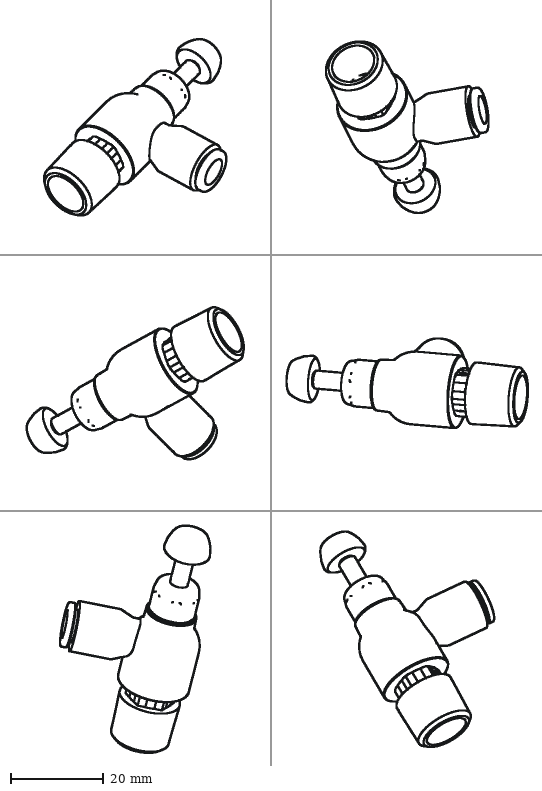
import cadquery as cq
import math


bore_radius = 9.5 / 2
thread_taper = 1 / 32
gauge_y = 4.45
gauge_radius = 6.55
thread_end_y = 9.5
nipple_top_y = 10.55
tip_chamfer_length = 0.85
tip_face_radius = 5.55

hexagon_sides = 6
hex_across_flats = 9.3
hex_corner_chamfer = 0.3

housing_bottom_y = 14.05
housing_radius = 7.9
housing_edge_chamfer = 0.15
dome_end_y = 28.45
dome_end_radius = 6.1
dome_arc_radius = 5.95
neck_arc_radius = 1.55
collar_bottom_y = 29.55
collar_bottom_radius = 5.65
collar_rim_radius = 5.55
collar_rim_drop = 0.3
collar_top_radius = 5.4
collar_top_y = 32.25

branch_y = 24.2
branch_bore_radius = 3.05
branch_neck_radius = 4.3
branch_radius = 5.55
cone_start_x = 7.65
cone_end_x = 10.55
branch_blend_radius = 1.05
branch_end_x = 19.75
collet_neck_radius = 3.6
collet_flange_x = 20.5
collet_end_x = 21.95
collet_radius = 4.95
collet_inner_chamfer = 0.2
collet_outer_fillet = 0.35

nut_gap = 0.15
nut_bottom_y = collar_top_y + nut_gap
nut_radius = 5.1
nut_across_flats = 10.0
nut_cone_y = 37.0
nut_shoulder_y = 38.25
nut_shoulder_radius = 4.8
nut_top_y = 39.4
nut_top_radius = 3.85
nut_crown_arc_radius = 1.25
stem_radius = 2.0
stem_chamfer = 0.4
knob_bottom_y = 46.7
knob_bottom_radius = 4.5
knob_chamfer_y = 46.9
knob_chamfer_radius = 4.8
knob_widest_y = 47.55
knob_radius = 5.1
knob_lip_arc_radius = 0.75
knob_side_arc_radius = 7.8
knob_crown_y = 51.6
knob_crown_radius = 3.75
knob_crown_arc_radius = 1.05
knob_top_y = 52.0
knob_top_radius = 2.95


def turned_about_y(profile):
    """Full turn of a closed (radius, y) profile about the main axis."""
    return profile.close().revolve(360, (0, 0), (0, 1))


def cylinder_on_y(radius, y_start, y_end):
    return turned_about_y(
        cq.Workplane("XY").moveTo(0, y_start).lineTo(radius, y_start).lineTo(radius, y_end).lineTo(0, y_end)
    )


def hexagon_on_y(across_flats, y_start, y_end):
    """Hexagonal prism with two flats facing +Z and -Z."""
    across_corners = across_flats / math.cos(math.pi / hexagon_sides)
    plane = cq.Plane(origin=(0, y_start, 0), xDir=(1, 0, 0), normal=(0, 1, 0))
    return cq.Workplane(plane).polygon(hexagon_sides, across_corners).extrude(y_end - y_start)


def thread_radius(y):
    return gauge_radius + (y - gauge_y) * thread_taper


def make_nipple():
    return turned_about_y(
        cq.Workplane("XY")
        .lineTo(tip_face_radius, 0)
        .lineTo(thread_radius(tip_chamfer_length), tip_chamfer_length)
        .lineTo(thread_radius(thread_end_y), thread_end_y)
        .lineTo(thread_radius(thread_end_y), nipple_top_y)
        .lineTo(0, nipple_top_y)
    )


def make_hexagon():
    """Hexagon with its corners turned down at 45 degrees where it meets the housing."""
    hexagon = hexagon_on_y(hex_across_flats, nipple_top_y, housing_bottom_y)
    corner_radius = hex_across_flats / 2 / math.cos(math.pi / hexagon_sides)
    envelope = turned_about_y(
        cq.Workplane("XY")
        .moveTo(0, nipple_top_y)
        .lineTo(corner_radius, nipple_top_y)
        .lineTo(corner_radius, housing_bottom_y - hex_corner_chamfer)
        .lineTo(corner_radius - hex_corner_chamfer, housing_bottom_y)
        .lineTo(0, housing_bottom_y)
    )
    return hexagon.intersect(envelope)


def make_barrel():
    """Barrel, dome and collar of the housing."""
    return turned_about_y(
        cq.Workplane("XY")
        .moveTo(0, housing_bottom_y)
        .lineTo(housing_radius - housing_edge_chamfer, housing_bottom_y)
        .lineTo(housing_radius, housing_bottom_y + housing_edge_chamfer)
        .lineTo(housing_radius, branch_y)
        .radiusArc((dome_end_radius, dome_end_y), -dome_arc_radius)
        .radiusArc((collar_bottom_radius, collar_bottom_y), neck_arc_radius)
        .lineTo(collar_rim_radius, collar_top_y - collar_rim_drop)
        .lineTo(collar_top_radius, collar_top_y)
        .lineTo(0, collar_top_y)
    )


def make_branch():
    """Neck, cone, tube socket and collet, turned about the branch axis."""
    cone_angle = math.atan2(branch_radius - branch_neck_radius, cone_end_x - cone_start_x)
    tangent = branch_blend_radius * math.tan(cone_angle / 2)
    along = tangent * math.cos(cone_angle)
    rise = tangent * math.sin(cone_angle)
    profile = (
        cq.Workplane("XY", origin=(0, branch_y, 0))
        .lineTo(0, branch_neck_radius)
        .lineTo(cone_start_x - tangent, branch_neck_radius)
        .radiusArc((cone_start_x + along, branch_neck_radius + rise), -branch_blend_radius)
        .lineTo(cone_end_x - along, branch_radius - rise)
        .radiusArc((cone_end_x + tangent, branch_radius), branch_blend_radius)
        .lineTo(branch_end_x, branch_radius)
        .lineTo(branch_end_x, collet_neck_radius)
        .lineTo(collet_flange_x, collet_neck_radius)
        .lineTo(collet_flange_x, collet_radius - collet_inner_chamfer)
        .lineTo(collet_flange_x + collet_inner_chamfer, collet_radius)
        .lineTo(collet_end_x - collet_outer_fillet, collet_radius)
        .radiusArc((collet_end_x, collet_radius - collet_outer_fillet), collet_outer_fillet)
        .lineTo(collet_end_x, 0)
        .close()
    )
    return profile.revolve(360, (0, 0), (1, 0))


def make_passage():
    """Main bore up to the branch axis, then the branch bore with its round inner end."""
    main_bore = cylinder_on_y(bore_radius, 0, branch_y)
    branch_bore = (
        cq.Workplane("YZ", origin=(0, branch_y, 0)).circle(branch_bore_radius).extrude(collet_end_x)
    )
    round_end = cq.Workplane("XY", origin=(0, branch_y, 0)).sphere(branch_bore_radius)
    return main_bore.union(branch_bore).union(round_end)


def make_fitting():
    outside = make_nipple().union(make_hexagon()).union(make_barrel()).union(make_branch())
    return outside.cut(make_passage())


def make_lock_nut():
    """Turned nut with flats cut along its whole length."""
    turned = turned_about_y(
        cq.Workplane("XY")
        .moveTo(0, nut_bottom_y)
        .lineTo(nut_radius, nut_bottom_y)
        .lineTo(nut_radius, nut_cone_y)
        .lineTo(nut_shoulder_radius, nut_shoulder_y)
        .radiusArc((nut_top_radius, nut_top_y), -nut_crown_arc_radius)
        .lineTo(0, nut_top_y)
    )
    return turned.intersect(hexagon_on_y(nut_across_flats, nut_bottom_y, nut_top_y))


def make_stem():
    """Stem from the collar, through the lock nut, to the knob."""
    return cylinder_on_y(stem_radius, collar_top_y, knob_bottom_y).faces(">Y").chamfer(stem_chamfer)


def make_knob():
    return turned_about_y(
        cq.Workplane("XY")
        .moveTo(0, knob_bottom_y)
        .lineTo(knob_bottom_radius, knob_bottom_y)
        .lineTo(knob_chamfer_radius, knob_chamfer_y)
        .radiusArc((knob_radius, knob_widest_y), -knob_lip_arc_radius)
        .radiusArc((knob_crown_radius, knob_crown_y), -knob_side_arc_radius)
        .radiusArc((knob_top_radius, knob_top_y), -knob_crown_arc_radius)
        .lineTo(0, knob_top_y)
    )


def make_needle():
    return make_stem().union(make_lock_nut()).union(make_knob())


fitting = make_fitting()
needle = make_needle()

result = cq.Compound.makeCompound([fitting.val(), needle.val()])